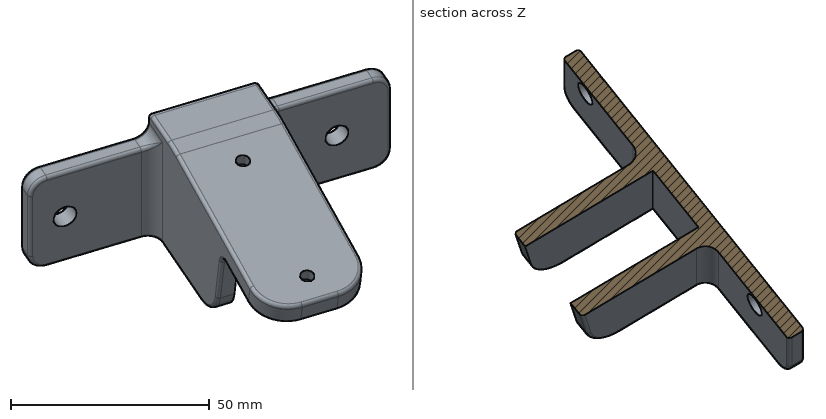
import cadquery as cq
import math

plate_width = 100.0
plate_height = 30.0
plate_thickness = 5.0
plate_corner_radius = 5.0
plate_hole_diameter = 6.3
plate_hole_places_y = (-40.0, 35.0)

body_width = 30.0
body_height = 37.2
bend_x = 15.0
bend_radius = 30.0
arm_slope = 10.0
arm_length = 58.4
arm_thickness = 6.5
arm_corner_radius = 10.0

gusset_foot_x = 40.8
gusset_thickness = 5.0
gusset_toe_radius = 10.0
gusset_root_radius = 3.0

arm_hole_diameter = 3.6
arm_counterbore_diameter = 6.0
arm_counterbore_depth = 3.0
arm_hole_spacing = 40.0
first_arm_hole = 10.3

blend_radius = 4.0
front_edge_radius = 2.0
edge_radius = 1.0

slope = math.radians(arm_slope)
along_arm = cq.Vector(math.cos(slope), 0, -math.sin(slope))
below_arm = cq.Vector(-math.sin(slope), 0, -math.cos(slope))
bend = cq.Vector(bend_x, 0, body_height)


def gusset_root():
    """Corner where the gusset end edge meets the underside of the arm."""
    reach = (cq.Vector(gusset_foot_x, 0, 0) - bend).dot(along_arm)
    return bend + along_arm * reach + below_arm * arm_thickness


def side_prism(points, width):
    """Extrude an XZ outline symmetrically about the Y = 0 plane."""
    outline = [(point.x, point.z) for point in points]
    return cq.Workplane("XZ").polyline(outline).close().extrude(width / 2, both=True)


def round_edge_at(solid, point, radius):
    """Round the edge that runs along Y and passes closest to a point."""
    nearest = cq.selectors.NearestToPointSelector(point.toTuple())
    return solid.edges("|Y").edges(nearest).fillet(radius)


def make_body():
    tip_top = bend + along_arm * arm_length
    tip_bottom = tip_top + below_arm * arm_thickness
    root = gusset_root()
    toe = cq.Vector(gusset_foot_x, 0, 0)
    front_top = cq.Vector(0, 0, body_height)
    body = side_prism([cq.Vector(), front_top, bend, tip_top, tip_bottom, root, toe], body_width)
    body = round_edge_at(body, bend, bend_radius)
    body = round_edge_at(body, root, gusset_root_radius)
    body = round_edge_at(body, toe, gusset_toe_radius)
    tip_corners = body.faces(">X").edges(cq.selectors.ParallelDirSelector(below_arm))
    return tip_corners.fillet(arm_corner_radius)


def make_plate():
    plate = cq.Workplane("XY").box(
        plate_thickness, plate_width, plate_height, centered=(False, True, False)
    )
    return plate.edges("|X").fillet(plate_corner_radius)


def blend_plate_to_body(bracket):
    """Round the inner corners where the body sides meet the plate."""
    margin = 0.1
    for side in (-1, 1):
        side_y = side * body_width / 2
        corner_box = cq.selectors.BoxSelector(
            (-margin, side_y - margin, -margin),
            (plate_thickness + margin, side_y + margin, plate_height + margin),
            boundingbox=True,
        )
        bracket = bracket.edges(corner_box).edges("|X or |Z").fillet(blend_radius)
    return bracket


def drill_holes(bracket):
    plate_holes = (
        cq.Workplane("YZ")
        .pushPoints([(y, plate_height / 2) for y in plate_hole_places_y])
        .circle(plate_hole_diameter / 2)
        .extrude(plate_thickness)
    )
    bracket = bracket.cut(plate_holes)
    for reach in (first_arm_hole, first_arm_hole + arm_hole_spacing):
        top = bend + along_arm * reach
        seat = top + below_arm * (arm_thickness - arm_counterbore_depth)
        hole = cq.Solid.makeCylinder(arm_hole_diameter / 2, arm_thickness, top, below_arm)
        counterbore = cq.Solid.makeCylinder(
            arm_counterbore_diameter / 2, arm_counterbore_depth, seat, below_arm
        )
        bracket = bracket.cut(hole).cut(counterbore)
    return bracket


def round_outer_edges(bracket):
    """Round the outer edges; each seed point picks one chain of tangent edges."""
    front_top = (0, 0, body_height)
    plate_front = (0, 0, 0)
    plate_back = (plate_thickness, plate_width / 2, plate_height / 2)
    bracket = bracket.edges(cq.selectors.NearestToPointSelector(front_top)).fillet(front_edge_radius)
    for seed in (plate_front, plate_back):
        bracket = bracket.edges(cq.selectors.NearestToPointSelector(seed)).fillet(edge_radius)
    return bracket


def cut_channel(bracket):
    """Open the space between the two gussets, below the arm."""
    channel_top = body_height - arm_thickness
    bend_drop = cq.Vector(-arm_thickness * math.tan(slope / 2), 0, -arm_thickness)
    channel = side_prism(
        [
            cq.Vector(plate_thickness, 0, 0),
            cq.Vector(plate_thickness, 0, channel_top),
            bend + bend_drop,
            gusset_root() + along_arm * gusset_root_radius,
            cq.Vector(gusset_foot_x + gusset_root_radius, 0, 0),
        ],
        body_width - 2 * gusset_thickness,
    )
    return bracket.cut(channel)


bracket = blend_plate_to_body(make_body().union(make_plate()))
result = drill_holes(cut_channel(round_outer_edges(bracket)))